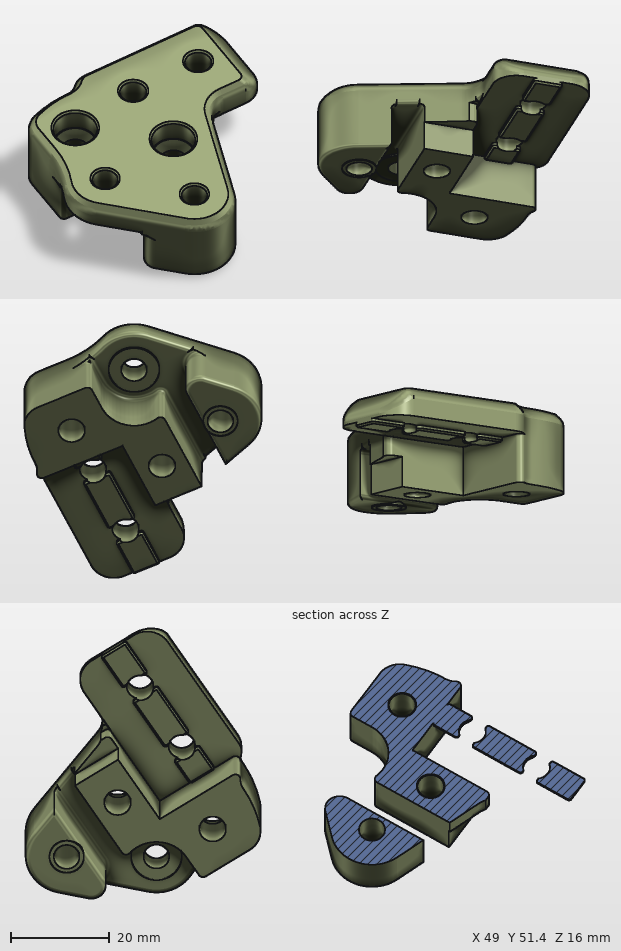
import cadquery as cq
import math


top_z = 16.0
plate_z = 10.0
lobe_z = 10.45
edge_chamfer = 1.5
edge_round = 2.0
end_bevel = 4.5
under_round = 1.0
root_top_z = lobe_z + under_round

left_x = -10.0
tab_right_x = 10.25
tab_end_y = 25.5
tab_corner_radius = 5.0
notch_radius = 5.0
notch_y = 15.2
lobe_radius = 8.37
lobe_edge_angle = -45
step_top = (left_x, -5.7)
step_bottom = (-7.5, -11.45)
front_y = -23.25
front_start_x = -1.35
front_end_x = 5.3
front_corner_radius = 4.8

slot_pitch = 15.5
slot_holes = [(0, 0), (0, slot_pitch)]
sunk_holes = [(slot_pitch, 0), (2.5, -15.35)]
front_lobe = (17.5, -17.5)
right_lobe = (30.65, -4.35)
slot_hole_diameter = 5.4
lobe_hole_diameter = 5.2
head_diameter = 8.9
head_depth = 4.8
cone_diameter = 8.6
mouth_chamfer = 0.4

block_left_x = 10.3
block_right_x = 20.7
block_end_y = 11.2
block_stop_y = -7.7
block_step_y = 7.8
block_step_z = 6.2
block_corner_radius = 1.0
washer_clearance = 7.2

leg_left_x = 27.05
leg_z = 0.4
leg_corner_radius = 3.0
lobe_washer_radius = 5.15
leg_ring_radius = 3.5
leg_ring_z = 0.2
rib_width = 6.0
rib_z = 9.0
rib_gap = 3.5
rib_corner_radius = 0.5
rib_chamfer = 0.4

big = 100.0
tolerance = 0.001


def polar(center, radius, angle):
    """Point on a circle, angle in degrees."""
    a = math.radians(angle)
    return (center[0] + radius * math.cos(a), center[1] + radius * math.sin(a))


def outline():
    """Closed plate outline, run clockwise from the +Y end of the tab."""
    notch_center = (tab_right_x + notch_radius, notch_y)
    dx = notch_center[0] - right_lobe[0]
    dy = notch_center[1] - right_lobe[1]
    spread = math.degrees(math.acos((notch_radius + lobe_radius) / math.hypot(dx, dy)))
    slope_normal = math.degrees(math.atan2(dy, dx)) - spread

    fx = front_lobe[0] - front_end_x
    fy = front_lobe[1] - front_y
    front_arc_radius = (fx**2 + fy**2 - lobe_radius**2) / (2 * (lobe_radius - fy))
    front_angle = math.degrees(math.atan2(fy + front_arc_radius, fx))

    corner_center = (front_start_x, front_y + front_corner_radius)
    cx = corner_center[0] - step_bottom[0]
    cy = corner_center[1] - step_bottom[1]
    flank_radius = (cx**2 + cy**2 - front_corner_radius**2) / (2 * (cx - front_corner_radius))
    flank_angle = 180 + math.degrees(math.atan2(-cy, flank_radius - cx))
    step_middle = ((step_top[0] + step_bottom[0]) / 2, (step_top[1] + step_bottom[1]) / 2)

    return (
        cq.Workplane("XY")
        .moveTo(left_x + tab_corner_radius, tab_end_y)
        .lineTo(tab_right_x - tab_corner_radius, tab_end_y)
        .tangentArcPoint((tab_right_x, tab_end_y - tab_corner_radius), relative=False)
        .lineTo(tab_right_x, notch_y)
        .tangentArcPoint(polar(notch_center, notch_radius, slope_normal + 180), relative=False)
        .lineTo(*polar(right_lobe, lobe_radius, slope_normal))
        .tangentArcPoint(polar(right_lobe, lobe_radius, lobe_edge_angle), relative=False)
        .lineTo(*polar(front_lobe, lobe_radius, lobe_edge_angle))
        .tangentArcPoint(polar(front_lobe, lobe_radius, front_angle + 180), relative=False)
        .tangentArcPoint((front_end_x, front_y), relative=False)
        .lineTo(front_start_x, front_y)
        .tangentArcPoint(polar(corner_center, front_corner_radius, flank_angle), relative=False)
        .tangentArcPoint(step_bottom, relative=False)
        .tangentArcPoint(step_middle, relative=False)
        .tangentArcPoint(step_top, relative=False)
        .lineTo(left_x, tab_end_y - tab_corner_radius)
        .tangentArcPoint((left_x + tab_corner_radius, tab_end_y), relative=False)
        .close()
    )


def prism(z0, z1):
    """Plate outline extruded between two heights."""
    return outline().extrude(z1 - z0).translate((0, 0, z0))


def box(x0, x1, y0, y1, z0, z1):
    """Box between the given limits."""
    return cq.Workplane("XY").box(x1 - x0, y1 - y0, z1 - z0, centered=False).translate((x0, y0, z0))


def cylinder(center, radius, z0, z1):
    """Upright cylinder between two heights."""
    return cq.Workplane("XY", origin=(*center, z0)).circle(radius).extrude(z1 - z0)


def edges_where(solid, test):
    """Edges of a solid whose bounding box passes the test."""
    return solid.newObject([e for e in solid.edges().vals() if test(e.BoundingBox())])


def near(a, b):
    """True when two sizes agree within the tolerance."""
    return abs(a - b) < tolerance


def make_plate():
    """Plate at lobe thickness, with the bevelled and rounded upper rim."""
    bevel_foot_z = top_z - edge_chamfer
    plate = prism(lobe_z, top_z).faces(">Z").edges().chamfer(edge_chamfer)
    end_wedge = (
        cq.Workplane("YZ")
        .moveTo(tab_end_y - end_bevel, top_z)
        .lineTo(tab_end_y, top_z)
        .lineTo(tab_end_y, top_z - end_bevel)
        .close()
        .extrude(big, both=True)
    )
    plate = plate.cut(end_wedge)

    def is_rim(b):
        rim_line = near(b.zmin, bevel_foot_z) and near(b.zmax, bevel_foot_z)
        on_end = b.ymin > tab_end_y - end_bevel - tolerance
        below_top = lobe_z + tolerance < b.zmin < top_z - tolerance
        return rim_line or (on_end and below_top)

    return edges_where(plate, is_rim).fillet(edge_round)


def seat_area(z0, z1):
    """Box over the part of the plate that rests on the profile."""
    return box(left_x, block_left_x, front_y, tab_end_y, z0, z1)


def under_edge_waste():
    """Material outside the rounded lower edge, everywhere but on the seat."""
    rounded = prism(lobe_z, top_z).faces("<Z").edges().fillet(under_round)
    waste = prism(lobe_z, root_top_z).cut(rounded)
    return waste.cut(seat_area(lobe_z, root_top_z))


def make_seat():
    """Thin layer that lowers the plate to the profile, with a square lower edge."""
    return prism(plate_z, lobe_z).intersect(seat_area(plate_z, lobe_z))


def make_root(post, is_root_edge):
    """Hollow round that leads a post, ending at the lobe underside, into the plate."""
    root_z = lobe_z - under_round
    surround = box(-big, big, -big, big, 0, lobe_z).cut(post)
    surround = edges_where(surround, is_root_edge).fillet(under_round)
    foot = cq.Workplane("XY").add(post.faces(">Z").wires().vals()).toPending().offset2D(under_round)
    foot = foot.extrude(root_top_z - root_z)
    foot = foot.translate((0, 0, root_z - foot.val().BoundingBox().zmin))
    return foot.cut(surround).intersect(prism(root_z, root_top_z))


def stop_corner_waste():
    """Material outside the round that joins the stop face to the hollow of the S step."""
    dx = step_bottom[0] - step_top[0]
    dy = step_bottom[1] - step_top[1]
    step_radius = (dx**2 + dy**2) / (4 * dx)
    hollow_center = (step_bottom[0] - step_radius, step_bottom[1])
    center_y = block_stop_y - block_corner_radius
    reach = step_radius + block_corner_radius
    rise = center_y - hollow_center[1]
    center_x = hollow_center[0] + math.sqrt(reach**2 - rise**2)
    touch_y = hollow_center[1] + rise * step_radius / reach
    waste = box(left_x, center_x, touch_y, block_stop_y, 0, lobe_z)
    return waste.cut(cylinder((center_x, center_y), block_corner_radius, 0, lobe_z))


def make_block():
    """L-shaped block: an arm across the profile end and one along its side."""
    across = box(-big / 2, block_right_x, front_y, block_stop_y, 0, lobe_z)
    along = box(block_left_x, block_right_x, block_stop_y, block_end_y, 0, lobe_z)
    recess = cylinder(front_lobe, washer_clearance, 0, lobe_z)
    recess = recess.union(box(block_left_x, big, -big, front_lobe[1], 0, lobe_z))
    block = across.union(along).cut(recess)

    def is_corner(b):
        upright = near(b.zmax - b.zmin, lobe_z)
        front_corner = near(b.xmin, block_left_x) and near(b.ymin, front_y)
        right_corner = near(b.xmin, block_right_x) and b.ymin < 0
        end_corner = near(b.xmin, block_left_x) and near(b.ymin, block_end_y)
        return upright and (front_corner or right_corner or end_corner)

    def is_root_edge(b):
        return near(b.zmin, lobe_z) and near(b.ymin, front_y) and near(b.ymax, front_y)

    block = edges_where(block, is_corner).fillet(block_corner_radius)
    root = make_root(block, is_root_edge)
    block = block.intersect(prism(0, lobe_z)).union(root)
    block = block.cut(stop_corner_waste())
    return block.cut(box(-big, big, block_step_y, big, 0, block_step_z))


def make_leg():
    """Leg under the right lobe hole, following the plate outline."""
    leg = prism(leg_z, lobe_z).intersect(box(leg_left_x, big, -big, big, leg_z, lobe_z))
    leg = leg.edges("|Z").edges("<Y").fillet(leg_corner_radius)

    def is_root_edge(b):
        return near(b.zmin, lobe_z) and near(b.xmin, leg_left_x) and near(b.xmax, leg_left_x)

    root = make_root(leg, is_root_edge)
    return leg.faces("<Z").edges().fillet(under_round).union(root)


def make_washer_faces():
    """Raised rings round the two lobe holes."""
    front_ring = cylinder(front_lobe, lobe_washer_radius, plate_z, lobe_z)
    right_ring = cylinder(right_lobe, leg_ring_radius, leg_ring_z, leg_z + under_round)
    return [front_ring, right_ring]


def taper(center, diameter, z, depth):
    """45 degree cone that narrows downward from the given diameter."""
    return cq.Workplane("XY", origin=(*center, z)).circle(diameter / 2).extrude(-depth, taper=45)


def hole_cutter(center, diameter):
    """Through hole with a chamfered mouth."""
    mouth = taper(center, diameter + 2 * mouth_chamfer, top_z, mouth_chamfer)
    return cylinder(center, diameter / 2, 0, top_z).union(mouth)


def sunk_hole_cutter(center):
    """Through hole with a deep head recess that ends in a cone."""
    seat_z = top_z - head_depth
    cone = taper(center, cone_diameter, seat_z, (cone_diameter - slot_hole_diameter) / 2)
    recess = cylinder(center, head_diameter / 2, seat_z, top_z)
    mouth = taper(center, head_diameter + 2 * mouth_chamfer, top_z, mouth_chamfer)
    return cylinder(center, slot_hole_diameter / 2, 0, top_z).union(cone).union(recess).union(mouth)


def cut_holes(body):
    """Body with all six screw holes cut."""
    cutters = [hole_cutter(center, slot_hole_diameter) for center in slot_holes]
    cutters += [hole_cutter(center, lobe_hole_diameter) for center in (front_lobe, right_lobe)]
    cutters += [sunk_hole_cutter(center) for center in sunk_holes]
    for cutter in cutters:
        body = body.cut(cutter)
    return body


def make_ribs():
    """Ribs that key into the profile slot, interrupted at the slot holes."""
    half_gap = rib_gap / 2
    spans = [
        (block_stop_y, -half_gap),
        (half_gap, slot_pitch - half_gap),
        (slot_pitch + half_gap, tab_end_y),
    ]
    ribs = []
    for start, end in spans:
        rib = box(-rib_width / 2, rib_width / 2, start, end, rib_z, plate_z)
        rib = rib.edges("|Z").fillet(rib_corner_radius)
        ribs.append(rib.faces("<Z").edges().chamfer(rib_chamfer))
    return ribs


body = make_plate().cut(under_edge_waste())
for member in (make_seat(), make_block(), make_leg()):
    body = body.union(member)
for detail in make_washer_faces() + make_ribs():
    body = body.union(detail)

result = cut_holes(body)